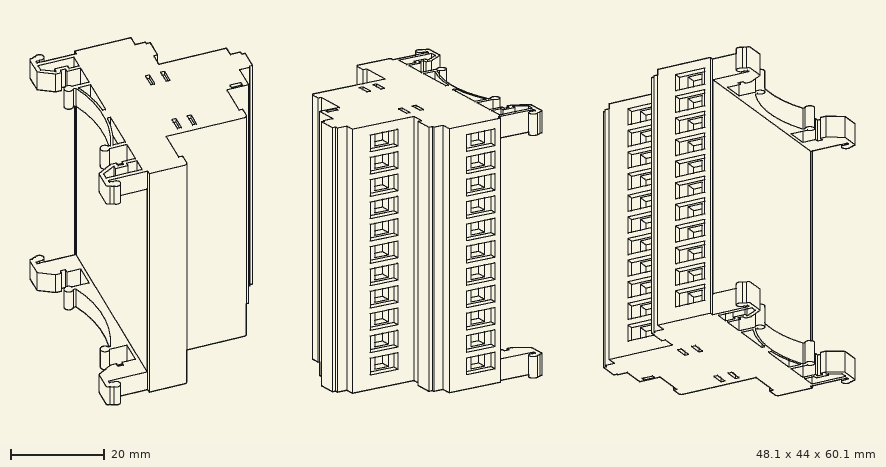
import cadquery as cq

height = 60.1
overall_width = 48.1
half_width = 22.45
back_y = 10.1

tier_shift_x = 10.65
tier_shift_y = 17.85
left_shoulder_y = 23.0
left_ledge_x = -19.95
left_ledge_y = 25.35
left_ridge_start_x = -19.4
left_ridge_end_x = -14.9
crown_start_x = -9.55
crown_end_x = -3.9
crown_shelf_end_x = 1.55
right_shelf_y = 18.0
right_ridge_start_x = 19.35
upper_ridge_start_x = 8.95
lower_ridge_rise = 0.9
upper_ridge_rise = 0.8
ridge_round = 0.7

plate_half_width = 21.5
plate_back_y = 10.0
cap_height = 4.9
cap_back_y = 9.2

cap_floor = 0.95
pocket_depth = cap_height - cap_floor

arch_apex_y = 8.0
arch_radius = 25.85
arch_thickness = 0.55
arch_wall_inner_x = 10.45
arch_wall_outer_x = 11.4
arch_rib_half_width = 1.45
bead_x = 10.95
bead_y = 4.3
bead_radius = 1.0

foot_inner_x = 16.5
foot_bend_y = 3.5
foot_tip_x = 18.6
foot_wall = 0.95
foot_inner_wall = 0.85
groove_bottom_y = 4.85
groove_top_y = 6.05
groove_depth = 0.9
groove_wall_y = 0.8
foot_floor_y = 0.95
foot_pocket_tip_x = 19.05
sole_top_y = 1.15
sole_end_x = 23.4
sole_round = 0.5
hook_bead_radius = 0.95
hook_bead_x = overall_width / 2 - hook_bead_radius
hook_bead_y = 2.3
hook_neck_x = 22.9
hook_neck_y = 1.45
hook_neck_radius = 0.85

terminal_count = 11
terminal_span = 50.75
terminal_pitch = terminal_span / (terminal_count - 1)
terminal_first_z = 5.2
terminal_recess_height = 3.8
terminal_recess_depth = 1.7
terminal_hole_height = 3.0
terminal_hole_depth = 2.4
terminal_hole_bottom_y = 13.1
terminal_hole_top_y = 16.45
terminal_recess_top_y = 18.6
lower_recess_bottom_y = 11.5
upper_recess_bottom_y = 29.4
terminal_row_shift = 17.65

slot_depth = 0.95
slot_length = 3.25
slot_width = 0.9
slot_centers_x = (-7.5, 8.5)
slot_centers_y = (21.7, 25.2)
upright_slot_x = 0.7
upright_slot_y = 38.3
upright_slot_width = 0.9
upright_slot_length = 2.5


def block(x0, x1, y0, y1, z0, z1):
    return cq.Workplane("XY").box(x1 - x0, y1 - y0, z1 - z0, centered=False).translate((x0, y0, z0))


def housing():
    """Stepped body over the full height, with the raised back plate between the end caps."""
    upper_left = -half_width + tier_shift_x
    upper_right = half_width - tier_shift_x
    crown_y = left_shoulder_y + tier_shift_y
    crown_ledge_y = left_ledge_y + tier_shift_y
    upper_shelf_y = right_shelf_y + tier_shift_y
    outline = [
        (-half_width, back_y),
        (-half_width, left_shoulder_y),
        (left_ledge_x, left_shoulder_y),
        (left_ledge_x, left_ledge_y),
        (left_ridge_start_x, left_ledge_y),
        (left_ridge_start_x, left_ledge_y + lower_ridge_rise),
        (left_ridge_end_x, left_ledge_y + lower_ridge_rise),
        (left_ridge_end_x, left_ledge_y),
        (upper_left, left_ledge_y),
        (upper_left, crown_y),
        (crown_start_x, crown_y),
        (crown_start_x, crown_ledge_y),
        (left_ridge_start_x + tier_shift_x, crown_ledge_y),
        (left_ridge_start_x + tier_shift_x, crown_ledge_y + upper_ridge_rise),
        (left_ridge_end_x + tier_shift_x, crown_ledge_y + upper_ridge_rise),
        (left_ridge_end_x + tier_shift_x, crown_ledge_y),
        (crown_end_x, crown_ledge_y),
        (crown_end_x, crown_y),
        (crown_shelf_end_x, crown_y),
        (crown_shelf_end_x, upper_shelf_y),
        (upper_ridge_start_x, upper_shelf_y),
        (upper_ridge_start_x, upper_shelf_y + upper_ridge_rise),
        (upper_right, upper_shelf_y + upper_ridge_rise),
        (upper_right, right_shelf_y),
        (right_ridge_start_x, right_shelf_y),
        (right_ridge_start_x, right_shelf_y + lower_ridge_rise),
        (half_width, right_shelf_y + lower_ridge_rise),
        (half_width, back_y),
    ]
    body = cq.Workplane("XY").polyline(outline).close().extrude(height)
    corners = [
        (upper_right, upper_shelf_y + upper_ridge_rise),
        (half_width, right_shelf_y + lower_ridge_rise),
    ]
    for x, y in corners:
        corner = cq.selectors.NearestToPointSelector((x, y, height / 2))
        body = body.edges(corner).fillet(ridge_round)
    plate = block(
        -plate_half_width, plate_half_width,
        plate_back_y, back_y,
        cap_height, height - cap_height,
    )
    return body.union(plate)


def disc(x, y, radius):
    """Round column as thick as an end cap."""
    return cq.Workplane("XY").center(x, y).circle(radius).extrude(cap_height)


def foot():
    """Hollow rail foot of the +X side with its latch groove, sole and round hook."""
    outline = [
        (plate_half_width, cap_back_y),
        (foot_inner_x, cap_back_y),
        (foot_inner_x, groove_top_y),
        (foot_inner_x + groove_depth, groove_top_y),
        (foot_inner_x + groove_depth, groove_bottom_y),
        (foot_inner_x, groove_bottom_y),
        (foot_inner_x, foot_bend_y),
        (foot_tip_x, 0),
        (plate_half_width, 0),
    ]
    pocket_inner_x = foot_inner_x + foot_inner_wall
    pocket_groove_x = pocket_inner_x + groove_depth
    pocket_outline = [
        (plate_half_width - foot_wall, cap_back_y),
        (pocket_inner_x, cap_back_y),
        (pocket_inner_x, groove_top_y + groove_wall_y),
        (pocket_groove_x, groove_top_y + groove_wall_y),
        (pocket_groove_x, groove_bottom_y - foot_wall),
        (pocket_inner_x, groove_bottom_y - foot_wall),
        (foot_pocket_tip_x, foot_floor_y),
        (plate_half_width - foot_wall, foot_floor_y),
    ]
    leg = cq.Workplane("XY").polyline(outline).close().extrude(cap_height)
    pocket = cq.Workplane("XY").workplane(offset=cap_floor).polyline(pocket_outline).close()
    pocket = pocket.extrude(pocket_depth)
    sole = block(plate_half_width - foot_wall, sole_end_x, 0, sole_top_y, 0, cap_height)
    sole = sole.edges("|Z and >X and <Y").fillet(sole_round)
    hook = disc(hook_bead_x, hook_bead_y, hook_bead_radius).union(
        disc(hook_neck_x, hook_neck_y, hook_neck_radius)
    )
    return leg.cut(pocket).union(sole).union(hook)


def rail_arch():
    """Arched web with two pockets, ending in a round bead at each side."""
    arch_center_y = arch_apex_y - arch_radius
    web = block(-arch_wall_outer_x, arch_wall_outer_x, bead_y, cap_back_y, 0, cap_height)
    opening = block(-arch_wall_inner_x, arch_wall_inner_x, 0, cap_back_y, 0, cap_height)
    web = web.cut(opening.intersect(disc(0, arch_center_y, arch_radius)))
    pockets = block(-arch_wall_inner_x, arch_wall_inner_x, bead_y, cap_back_y, cap_floor, cap_height)
    pockets = pockets.cut(disc(0, arch_center_y, arch_radius + arch_thickness))
    pockets = pockets.cut(
        block(-arch_rib_half_width, arch_rib_half_width, bead_y, cap_back_y, 0, cap_height)
    )
    web = web.cut(pockets)
    for side in (-1, 1):
        web = web.union(disc(side * bead_x, bead_y, bead_radius))
    return web


def end_cap():
    """Rail fittings of the upper end, with the closed inner face on Z = 0."""
    back = block(-plate_half_width, plate_half_width, cap_back_y, back_y, 0, cap_height)
    right_foot = foot()
    return back.union(rail_arch()).union(right_foot).union(right_foot.mirror("YZ"))


def wire_openings(side_x, rise, recess_bottom_y):
    """Column of recesses in a side face, each with a smaller hole in its floor."""
    recess_floor_x = side_x + terminal_recess_depth
    openings = cq.Workplane("XY")
    for index in range(terminal_count):
        z = terminal_first_z + index * terminal_pitch
        half_recess = terminal_recess_height / 2
        half_hole = terminal_hole_height / 2
        recess = block(
            side_x, recess_floor_x,
            recess_bottom_y, terminal_recess_top_y + rise,
            z - half_recess, z + half_recess,
        )
        hole = block(
            recess_floor_x, recess_floor_x + terminal_hole_depth,
            terminal_hole_bottom_y + rise, terminal_hole_top_y + rise,
            z - half_hole, z + half_hole,
        )
        openings = openings.add(recess).add(hole)
    return openings.combine()


def end_slots():
    """Slots of the upper end face."""
    z0 = height - slot_depth
    centers = [(x, y) for x in slot_centers_x for y in slot_centers_y]
    slots = cq.Workplane("XY").workplane(offset=z0).pushPoints(centers)
    slots = slots.rect(slot_length, slot_width).extrude(slot_depth)
    upright = cq.Workplane("XY").workplane(offset=z0).center(upright_slot_x, upright_slot_y)
    return slots.union(upright.rect(upright_slot_width, upright_slot_length).extrude(slot_depth))


def on_both_ends(upper):
    """The upper-end shape together with its mirror image at the lower end."""
    return upper.union(upper.mirror("XY", (0, 0, height / 2)))


result = housing().union(on_both_ends(end_cap().translate((0, 0, height - cap_height))))
result = result.cut(wire_openings(-half_width, 0, lower_recess_bottom_y))
result = result.cut(wire_openings(-half_width + tier_shift_x, terminal_row_shift, upper_recess_bottom_y))
result = result.cut(on_both_ends(end_slots()))